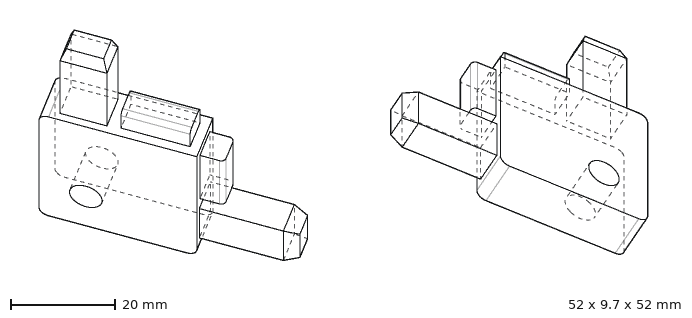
import cadquery as cq

overall = 52.0
thickness = 9.7

body_side = 32.0
corner_radius = 2.0

hole_offset = 9.5
hole_diameter = 6.6

prong_center = 8.55
prong_width = 9.5
prong_depth = 6.7
prong_length = overall - body_side
tip_length = 3.0
tip_inset = 1.0
shank_length = prong_length - tip_length

key_start = 16.0
key_width = 14.0
key_depth = 6.0
key_height = 5.0
key_radius = 1.0
key_center = key_start + key_width / 2


def make_body():
    """Square plate, centred in Y, with every corner rounded except the inner one between the prongs."""
    plate = cq.Workplane("XY").box(body_side, thickness, body_side, centered=(False, True, False))
    plate = plate.edges("|Y").edges("<X or <Z").fillet(corner_radius)
    hole = (
        cq.Workplane("XZ")
        .center(hole_offset, hole_offset)
        .circle(hole_diameter / 2)
        .extrude(thickness, both=True)
    )
    return plate.cut(hole)


def make_prong():
    """Rectangular shank on the top side that ends in a tapered tip."""
    shank_top = body_side + shank_length
    shank = (
        cq.Workplane("XY", origin=(prong_center, 0, body_side))
        .rect(prong_width, prong_depth)
        .extrude(shank_length)
    )
    tip = (
        cq.Workplane("XY", origin=(prong_center, 0, shank_top))
        .rect(prong_width, prong_depth)
        .workplane(offset=tip_length)
        .rect(prong_width - 2 * tip_inset, prong_depth - 2 * tip_inset)
        .loft(ruled=True)
    )
    return shank.union(tip)


def make_key():
    """Bar on the top side with its two long outer edges rounded."""
    return (
        cq.Workplane("XY", origin=(key_center, 0, body_side))
        .rect(key_width, key_depth)
        .extrude(key_height)
        .edges("|X and >Z")
        .fillet(key_radius)
    )


def swap_x_and_z(shape):
    """Move a Y-symmetric feature from the top side to the right side, exchanging X and Z."""
    return shape.rotate((0, 0, 0), (0, 1, 0), 90).mirror("XY")


result = make_body()
for feature in (make_prong(), make_key()):
    result = result.union(feature).union(swap_x_and_z(feature))